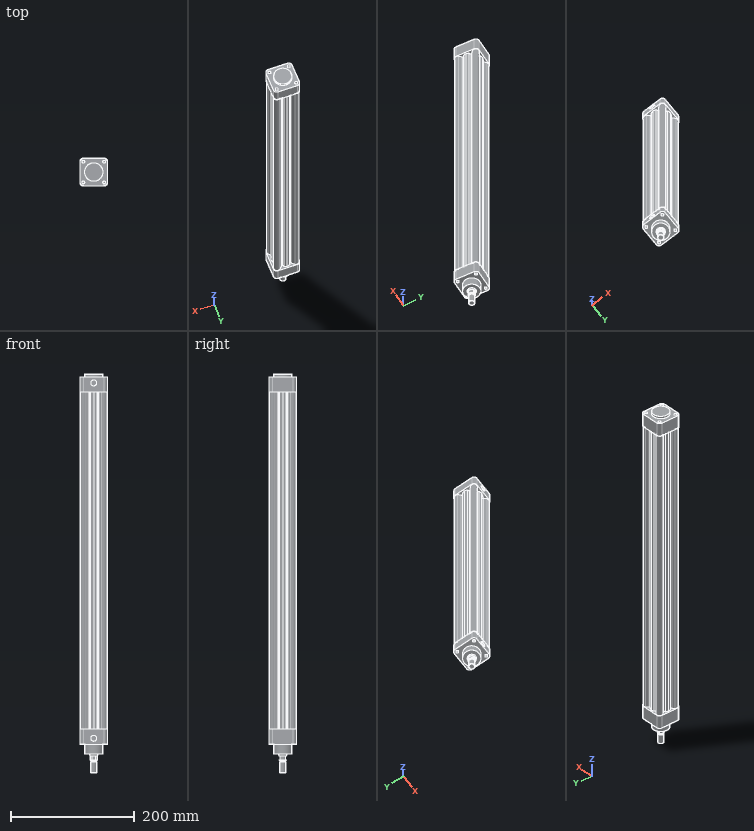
import cadquery as cq
import math


TOTAL_LENGTH = 644.0
CAP_WIDTH = 45.0

THREAD_TOP = 17.5
NECK_TOP = 19.0
SHOULDER_BOTTOM = 20.5
FLAT_TOP = 27.0
COLLAR_BOTTOM = 28.0
NOSE_BOTTOM = 30.0
FRONT_CAP_BOTTOM = 46.5
CAP_HEIGHT = 24.5
REAR_BOSS_HEIGHT = 4.5
FRONT_CAP_TOP = FRONT_CAP_BOTTOM + CAP_HEIGHT
REAR_CAP_TOP = TOTAL_LENGTH - REAR_BOSS_HEIGHT
REAR_CAP_BOTTOM = REAR_CAP_TOP - CAP_HEIGHT

SCREW_OFFSET = 17.0
CAP_CORNER_RADIUS = CAP_WIDTH / 2 - SCREW_OFFSET
BOSS_DIAMETER = 29.5
COLLAR_TOP_DIAMETER = 15.0
COLLAR_BOTTOM_DIAMETER = 12.0
SCREW_HOLE_DIAMETER = 4.5
SCREW_HOLE_DEPTH = 13.0
PORT_DIAMETER = 9.5
PORT_DEPTH = 8.0
PORT_FROM_CAP_END = 9.5

ROD_DIAMETER = 11.5
THREAD_DIAMETER = 10.0
NECK_DIAMETER = 9.5
TIP_CHAMFER = 0.5
ACROSS_FLATS = 9.5

LOBE_OFFSET = 16.0
LOBE_RADIUS = 6.0
LOBE_EDGE = 13.0
RIDGE_HEIGHT = 20.0
RIDGE_SLOPE = 17.0
SLOT_INNER = 5.0
SLOT_OUTER = 9.0
SLOT_FLOOR = 15.0
SLOT_FLOOR_WIDTH = 1.0


def side_points():
    """Outline of the -Y side of the tube between its two lobes, from -X to +X."""
    lobe_edge_height = LOBE_OFFSET + math.sqrt(LOBE_RADIUS**2 - (LOBE_OFFSET - LOBE_EDGE) ** 2)
    slot_mouth = lobe_edge_height - (LOBE_EDGE - SLOT_OUTER)
    ridge_foot = RIDGE_HEIGHT - SLOT_INNER * math.tan(math.radians(RIDGE_SLOPE))
    slot_centre = (SLOT_INNER + SLOT_OUTER) / 2
    right_half = [
        (SLOT_INNER, -ridge_foot),
        (slot_centre - SLOT_FLOOR_WIDTH / 2, -SLOT_FLOOR),
        (slot_centre + SLOT_FLOOR_WIDTH / 2, -SLOT_FLOOR),
        (SLOT_OUTER, -slot_mouth),
        (LOBE_EDGE, -lobe_edge_height),
    ]
    left_half = [(-x, y) for x, y in reversed(right_half)]
    return left_half + [(0, -RIDGE_HEIGHT)] + right_half


def turned(point, quarter_turns):
    """Turn a point about the axis by quarter turns, counterclockwise."""
    x, y = point
    for _ in range(quarter_turns):
        x, y = -y, x
    return (x, y)


def make_tube():
    points = side_points()
    lobe_tip = LOBE_OFFSET + LOBE_RADIUS * math.sqrt(0.5)
    outline = cq.Workplane("XY", origin=(0, 0, FRONT_CAP_TOP)).moveTo(*points[0])
    for side in range(4):
        for point in points[1:]:
            outline = outline.lineTo(*turned(point, side))
        corner = turned((lobe_tip, -lobe_tip), side)
        outline = outline.threePointArc(corner, turned(points[0], side + 1))
    return outline.close().extrude(REAR_CAP_BOTTOM - FRONT_CAP_TOP)


def cylinder(diameter, bottom, top):
    return cq.Workplane("XY", origin=(0, 0, bottom)).circle(diameter / 2).extrude(top - bottom)


def make_cap_block(bottom, port_height, screw_face, screw_direction):
    """Square cap with rounded corners, a port in its -Y side and four screw holes in its outer end."""
    block = cq.Workplane("XY", origin=(0, 0, bottom)).rect(CAP_WIDTH, CAP_WIDTH).extrude(CAP_HEIGHT)
    block = block.edges("|Z").fillet(CAP_CORNER_RADIUS)

    port = (
        cq.Workplane("XZ", origin=(0, -CAP_WIDTH / 2, port_height))
        .circle(PORT_DIAMETER / 2)
        .extrude(-PORT_DEPTH)
    )
    screw_holes = (
        cq.Workplane("XY", origin=(0, 0, screw_face))
        .rect(2 * SCREW_OFFSET, 2 * SCREW_OFFSET, forConstruction=True)
        .vertices()
        .circle(SCREW_HOLE_DIAMETER / 2)
        .extrude(screw_direction * SCREW_HOLE_DEPTH)
    )
    return block.cut(port).cut(screw_holes)


def make_front_cap():
    block = make_cap_block(FRONT_CAP_BOTTOM, FRONT_CAP_BOTTOM + PORT_FROM_CAP_END, FRONT_CAP_BOTTOM, 1)
    nose = cylinder(BOSS_DIAMETER, NOSE_BOTTOM, FRONT_CAP_BOTTOM)
    collar = (
        cq.Workplane("XY", origin=(0, 0, NOSE_BOTTOM))
        .circle(COLLAR_TOP_DIAMETER / 2)
        .workplane(offset=COLLAR_BOTTOM - NOSE_BOTTOM)
        .circle(COLLAR_BOTTOM_DIAMETER / 2)
        .loft(ruled=True)
    )
    rod_bore = cylinder(ROD_DIAMETER, COLLAR_BOTTOM, FRONT_CAP_TOP)
    return block.union(nose).union(collar).cut(rod_bore)


def make_rear_cap():
    block = make_cap_block(REAR_CAP_BOTTOM, REAR_CAP_TOP - PORT_FROM_CAP_END, REAR_CAP_TOP, -1)
    return block.union(cylinder(BOSS_DIAMETER, REAR_CAP_TOP, TOTAL_LENGTH))


def make_rod():
    """Rod through the front cap, with wrench flats at -Y and +Y, a neck and a chamfered thread."""
    rod_radius = ROD_DIAMETER / 2
    thread_radius = THREAD_DIAMETER / 2
    neck_radius = NECK_DIAMETER / 2
    half_section = [
        (0, 0),
        (thread_radius - TIP_CHAMFER, 0),
        (thread_radius, TIP_CHAMFER),
        (thread_radius, THREAD_TOP),
        (neck_radius, THREAD_TOP),
        (neck_radius, NECK_TOP),
        (rod_radius, SHOULDER_BOTTOM),
        (rod_radius, FRONT_CAP_TOP),
        (0, FRONT_CAP_TOP),
    ]
    rod = cq.Workplane("XZ").polyline(half_section).close().revolve(360, (0, 0), (0, 1))

    flat_depth = (ROD_DIAMETER - ACROSS_FLATS) / 2
    flat_cut = cq.Workplane("XY", origin=(0, 0, SHOULDER_BOTTOM))
    flat_centre = (ACROSS_FLATS + flat_depth) / 2
    flat_cut = flat_cut.pushPoints([(0, -flat_centre), (0, flat_centre)])
    return rod.cut(flat_cut.rect(ROD_DIAMETER, flat_depth).extrude(FLAT_TOP - SHOULDER_BOTTOM))


front_cap = make_front_cap()
tube = make_tube()
rear_cap = make_rear_cap()
rod = make_rod()

result = cq.Compound.makeCompound([front_cap.val(), tube.val(), rear_cap.val(), rod.val()])